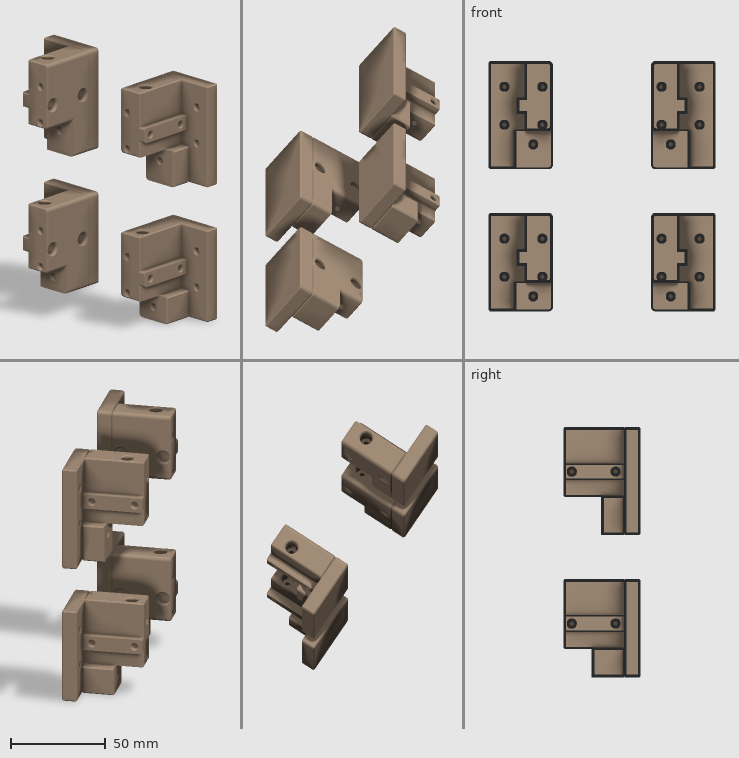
import cadquery as cq
TOTAL_WIDTH = 118.8
TOTAL_DEPTH = 40.0
TOTAL_HEIGHT = 131.0

PLATE_WIDTH = 33.1
PLATE_THICKNESS = 8.0

ARM_WIDTH = 14.3
ARM_HEIGHT = 36.0
RAIL_WIDTH = 18.3
RAIL_HEIGHT = 8.0
RAIL_CENTRE_DROP = 23.0
FOOT_WIDTH = 19.9
UPPER_FOOT_HEIGHT = 20.0
UPPER_FOOT_DEPTH = 12.0
LOWER_FOOT_HEIGHT = 14.9
LOWER_FOOT_DEPTH = 17.0

EDGE_CHAMFER = 0.7
CORNER_RADIUS = 2.0

SCREW_DIAMETER = 3.1
HEAD_DIAMETER = 6.5
MOUTH_CHAMFER = 0.7
SCREW_SPACING = 20.0
SCREW_SIDE_INSET = 8.0
SCREW_TOP_INSET = 13.1
PLATE_HOLE_DEPTH = 6.5
FRONT_HOLE_DEPTH = 10.5
FOOT_HOLE_DROP = 7.5
TOP_HOLE_INSET = 9.2
TOP_HOLE_DEPTH = 14.9
RAIL_HOLE_SETBACK = 4.0
RAIL_HOLE_SPACING = 23.0
RAIL_HOLE_DEPTH = 6.5
INNER_RECESS_DEPTH = 2.6

BACK_Y = TOTAL_DEPTH / 2
FRONT_Y = -TOTAL_DEPTH / 2
PLATE_FRONT_Y = BACK_Y - PLATE_THICKNESS
OUTER_X = -TOTAL_WIDTH / 2
INNER_X = OUTER_X + PLATE_WIDTH


def box(x0, x1, y0, y1, z0, z1):
    """Box between opposite corner coordinates."""
    return cq.Workplane("XY").box(x1 - x0, y1 - y0, z1 - z0, centered=False).translate((x0, y0, z0))


def hole(start, direction, diameter, depth):
    """Cutter for a round blind hole with a chamfered mouth, running from start along direction."""
    origin = cq.Vector(*start)
    axis = cq.Vector(*direction)
    bore = cq.Solid.makeCylinder(diameter / 2, depth, origin, axis)
    mouth = cq.Solid.makeCone(diameter / 2 + MOUTH_CHAMFER, diameter / 2, MOUTH_CHAMFER, origin, axis)
    return cq.Workplane(bore).union(cq.Workplane(mouth))


def screw_rows(top):
    """Heights of the two rows of front screw holes."""
    return [top - SCREW_TOP_INSET - row * SCREW_SPACING for row in range(2)]


def make_plate(top, height):
    """Left-hand mounting plate with its two front screw holes."""
    plate = box(OUTER_X, INNER_X, PLATE_FRONT_Y, BACK_Y, top - height, top)
    plate = plate.edges("|Y and >X").fillet(CORNER_RADIUS)
    plate = plate.faces("<X or <Y or >Y").edges().chamfer(EDGE_CHAMFER)
    for z in screw_rows(top):
        start = (OUTER_X + SCREW_SIDE_INSET, PLATE_FRONT_Y, z)
        plate = plate.cut(hole(start, (0, 1, 0), SCREW_DIAMETER, PLATE_HOLE_DEPTH))
    return plate


def make_block(top, height, foot_depth):
    """Left-hand clamp block: arm, rail and foot in one piece, with all its holes."""
    arm_bottom = top - ARM_HEIGHT
    rail_z = top - RAIL_CENTRE_DROP
    rail_x = INNER_X - RAIL_WIDTH
    foot_x = INNER_X - FOOT_WIDTH
    foot_y = PLATE_FRONT_Y - foot_depth

    arm = box(INNER_X - ARM_WIDTH, INNER_X, FRONT_Y, PLATE_FRONT_Y, arm_bottom, top)
    foot = box(foot_x, INNER_X, foot_y, PLATE_FRONT_Y, top - height, arm_bottom)
    rail = box(rail_x, INNER_X, FRONT_Y, PLATE_FRONT_Y,
               rail_z - RAIL_HEIGHT / 2, rail_z + RAIL_HEIGHT / 2)
    block = arm.union(foot).union(rail)

    block = block.edges("|Y and >X").fillet(CORNER_RADIUS)
    block = block.faces("<X or <Y or >Z").edges().chamfer(EDGE_CHAMFER)

    for z in screw_rows(top):
        start = (OUTER_X + SCREW_SIDE_INSET + SCREW_SPACING, FRONT_Y, z)
        block = block.cut(hole(start, (0, 1, 0), SCREW_DIAMETER, FRONT_HOLE_DEPTH))
    foot_start = (foot_x + FOOT_WIDTH / 2, foot_y, arm_bottom - FOOT_HOLE_DROP)
    block = block.cut(hole(foot_start, (0, 1, 0), SCREW_DIAMETER, FRONT_HOLE_DEPTH))

    top_x = INNER_X - TOP_HOLE_INSET
    top_y = (FRONT_Y + foot_y) / 2
    through = cq.Solid.makeCylinder(SCREW_DIAMETER / 2, ARM_HEIGHT, cq.Vector(top_x, top_y, arm_bottom))
    block = block.cut(hole((top_x, top_y, top), (0, 0, -1), HEAD_DIAMETER, TOP_HOLE_DEPTH))
    block = block.cut(cq.Workplane(through))

    for index in range(2):
        y = FRONT_Y + RAIL_HOLE_SETBACK + index * RAIL_HOLE_SPACING
        block = block.cut(hole((rail_x, y, rail_z), (1, 0, 0), SCREW_DIAMETER, RAIL_HOLE_DEPTH))
        block = block.cut(hole((INNER_X, y, rail_z), (-1, 0, 0), HEAD_DIAMETER, INNER_RECESS_DEPTH))
    return block


def mirrored_pair(body):
    """The left-hand solid and its right-hand mirror image."""
    return [body.val(), body.mirror("YZ").val()]


UPPER_HEIGHT = ARM_HEIGHT + UPPER_FOOT_HEIGHT
LOWER_HEIGHT = ARM_HEIGHT + LOWER_FOOT_HEIGHT
BRACKETS = [
    (TOTAL_HEIGHT / 2, UPPER_HEIGHT, UPPER_FOOT_DEPTH),
    (LOWER_HEIGHT - TOTAL_HEIGHT / 2, LOWER_HEIGHT, LOWER_FOOT_DEPTH),
]

plates = []
blocks = []
for top, height, foot_depth in BRACKETS:
    plates += mirrored_pair(make_plate(top, height))
    blocks += mirrored_pair(make_block(top, height, foot_depth))

result = cq.Compound.makeCompound([*plates, *blocks])